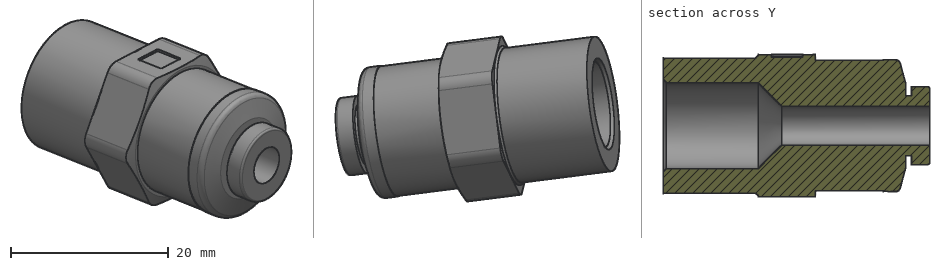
import cadquery as cq
import math

LENGTH = 33.78

socket_radius = 8.6
socket_length = 11.72
hex_start = 12.03
shoulder_radius = 8.92

hex_across_flats = 18.05
hex_corner_radius = 1.93
hex_end = 19.32
hex_chamfer_radius = 8.75
hex_chamfer_angle = 15.0

barrel_radius = 8.3
cap_start = 27.9
cap_end = 30.75
cap_radius = 8.38
cap_face_radius = 5.4
cap_cone_angle = 15.0
cap_round = 0.75

button_start = 31.45
button_stem_radius = 3.85
button_radius = 4.95
button_round = 0.27

mouth_radius = 5.85
bore_radius = 5.45
bore_depth = hex_start
bore_cone_angle = 45.0
through_radius = 2.43

recess_length = 3.92
recess_width = 3.8
recess_center_x = 15.7
recess_depth = 0.3
recess_corner_radius = 0.17


def turned(profile):
    """Revolve a closed (x, radius) outline around the X axis."""
    return cq.Workplane("XY").polyline(profile).close().revolve(360, (0, 0, 0), (1, 0, 0))


def rise(radial_width, angle):
    """Axial length of a cone that is `angle` degrees from the end face."""
    return radial_width * math.tan(math.radians(angle))


def make_socket():
    return turned([
        (0, 0),
        (0, socket_radius),
        (socket_length, socket_radius),
        (hex_start, shoulder_radius),
        (hex_start, 0),
    ])


def make_hexagon():
    across_corners = hex_across_flats / math.cos(math.radians(30))
    prism = (
        cq.Workplane("YZ")
        .workplane(offset=hex_start)
        .polygon(6, across_corners)
        .extrude(hex_end - hex_start)
        .edges("|X")
        .fillet(hex_corner_radius)
    )
    blank_radius = across_corners / 2
    chamfer_length = rise(blank_radius - hex_chamfer_radius, hex_chamfer_angle)
    chamfered_blank = turned([
        (hex_start, 0),
        (hex_start, blank_radius),
        (hex_end - chamfer_length, blank_radius),
        (hex_end, hex_chamfer_radius),
        (hex_end, 0),
    ])
    return prism.intersect(chamfered_blank)


def make_barrel():
    return turned([
        (hex_end, 0),
        (hex_end, barrel_radius),
        (cap_start, barrel_radius),
        (cap_start, 0),
    ])


def make_cap():
    cone_start = cap_end - rise(cap_radius - cap_face_radius, cap_cone_angle)
    cap = turned([
        (cap_start, 0),
        (cap_start, cap_radius),
        (cone_start, cap_radius),
        (cap_end, cap_face_radius),
        (cap_end, 0),
    ])
    rim = cap.edges("%CIRCLE").edges("not(<X or >X)")
    return rim.fillet(cap_round)


def make_button():
    button = turned([
        (cap_end, 0),
        (cap_end, button_stem_radius),
        (button_start, button_stem_radius),
        (button_start, button_radius),
        (LENGTH, button_radius),
        (LENGTH, 0),
    ])
    return button.faces(">X").edges().fillet(button_round)


def make_bore():
    mouth_chamfer = mouth_radius - bore_radius
    cone_end = bore_depth + rise(bore_radius - through_radius, bore_cone_angle)
    return turned([
        (0, 0),
        (0, mouth_radius),
        (mouth_chamfer, bore_radius),
        (bore_depth, bore_radius),
        (cone_end, through_radius),
        (LENGTH, through_radius),
        (LENGTH, 0),
    ])


def make_recess():
    return (
        cq.Workplane("XY")
        .workplane(offset=hex_across_flats / 2 - recess_depth)
        .center(recess_center_x, 0)
        .rect(recess_length, recess_width)
        .extrude(recess_depth)
        .edges("|Z")
        .fillet(recess_corner_radius)
    )


body = make_socket()
for section in (make_hexagon(), make_barrel(), make_cap(), make_button()):
    body = body.union(section)

result = body.cut(make_bore()).cut(make_recess())